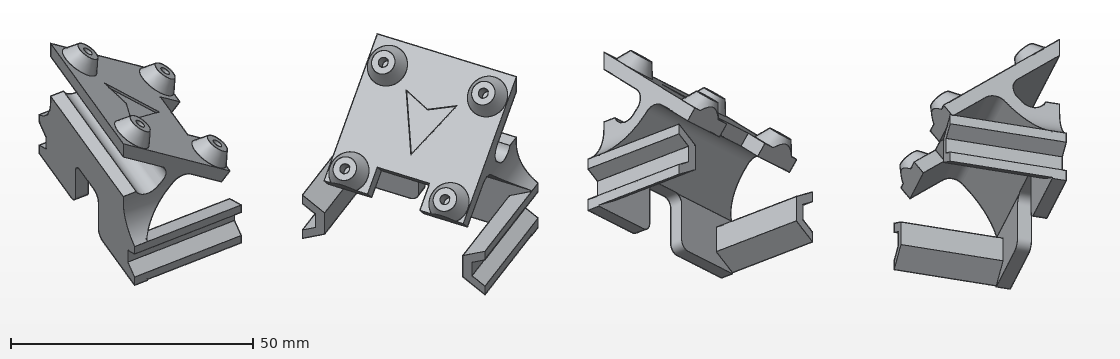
import cadquery as cq
import math

width = 42.0
body_width = 32.0
wall = 3.02
half_width = width / 2
half_body = body_width / 2

tilt = 40.0
plate_top = 38.3
plate_reach = 24.95
plate_thick = 3.05
slope_cos = math.cos(math.radians(tilt))
slope_sin = math.sin(math.radians(tilt))
plate_length = plate_reach / slope_cos
end_notch_width = 12.0
end_notch_depth = 5.95

web_rear_offset = 9.0
web_front_offset = web_rear_offset + wall * math.sqrt(2)
wall_top = 22.2
root_radius = 3.02

flank_radius = 10.0
flank_top = 20.45
arm_top = 11.8

arm_bottom = 0.25
arm_thick = 5.12
groove_depth = 3.0
groove_mouth = 7.0
groove_angle = 30.0
groove_mid = (arm_top + arm_bottom) / 2

slot_width = 10.0
slot_height = 12.1
slot_radius = 2.0

boss_x = 11.5
boss_along = (5.75, 29.3)
boss_base_radius = 4.33
boss_top_radius = 2.5
boss_height = 3.02
boss_hole_radius = 1.05

arrow_half_width = 5.85
arrow_tip = 22.05
arrow_barb = 9.45
arrow_notch = 12.0
arrow_depth = 0.5

plate_plane = cq.Plane(
    origin=(0, 0, plate_top), xDir=(1, 0, 0), normal=(0, slope_sin, slope_cos)
)


def side_profile():
    """Wall, web and plate as one Y-Z outline, extruded across the full width."""
    under_front = plate_top - plate_thick / slope_cos
    slope = slope_sin / slope_cos
    end_y = plate_reach - plate_thick * slope_sin
    end_z = under_front - end_y * slope

    def web_corner(offset):
        y = (under_front - offset) / (1 + slope)
        return y, y + offset

    front_corner = web_corner(web_front_offset)
    rear_corner = web_corner(web_rear_offset)

    diagonal = math.sqrt(0.5)
    shift = wall + web_front_offset + root_radius / diagonal - wall_top
    centre_y = wall + (math.sqrt(2 * root_radius**2 - shift**2) - shift) / 2
    centre_z = centre_y + web_front_offset + root_radius / diagonal
    tangent = (centre_y + root_radius * diagonal, centre_z - root_radius * diagonal)

    outline = (
        cq.Workplane("YZ")
        .moveTo(0, 0)
        .lineTo(wall, 0)
        .lineTo(wall, wall + web_rear_offset)
        .lineTo(*rear_corner)
        .lineTo(end_y, end_z)
        .lineTo(plate_reach, plate_top - plate_reach * slope)
        .lineTo(0, plate_top)
        .lineTo(0, under_front)
        .lineTo(*front_corner)
        .lineTo(*tangent)
        .threePointArc((centre_y, centre_z - root_radius), (wall, wall_top))
        .lineTo(0, wall_top)
        .close()
    )
    solid = outline.extrude(half_width, both=True)
    for y, z in (front_corner, rear_corner):
        near_corner = cq.selectors.BoxSelector(
            (-0.4, y - 0.4, z - 0.4), (0.4, y + 0.4, z + 0.4)
        )
        solid = solid.edges("|X").edges(near_corner).fillet(root_radius)
    return solid


def width_envelope():
    """Narrow body, plus concave flanks to a full-width foot under the web only."""
    flank_reach = flank_top - web_rear_offset
    body = cq.Workplane("XY").box(
        body_width, plate_reach, plate_top, centered=(True, False, False)
    )
    centre_x = half_body + flank_radius
    mid_angle = math.asin((flank_top - arm_top) / flank_radius) / 2
    mid_x = centre_x - flank_radius * math.cos(mid_angle)
    mid_z = flank_top - flank_radius * math.sin(mid_angle)
    foot = (
        cq.Workplane("XZ")
        .moveTo(-half_width, 0)
        .lineTo(half_width, 0)
        .lineTo(half_width, arm_top)
        .threePointArc((mid_x, mid_z), (half_body, flank_top))
        .lineTo(-half_body, flank_top)
        .threePointArc((-mid_x, mid_z), (-half_width, arm_top))
        .close()
        .extrude(-flank_reach)
    )
    return body.union(foot)


def arm(side):
    """Side arm whose top and bottom faces slope parallel to the groove flanks."""
    drop = arm_thick * math.tan(math.radians(groove_angle))
    outer = side * half_width
    inner = side * (half_width - arm_thick)
    points = [
        (outer, arm_bottom),
        (outer, arm_top),
        (inner, arm_top - drop),
        (inner, arm_bottom + drop),
    ]
    return cq.Workplane("XZ").polyline(points).close().extrude(-plate_reach)


def groove(side):
    """V groove with a flat floor, running the whole length of an arm."""
    outer = side * half_width
    floor = side * (half_width - groove_depth)
    half_mouth = groove_mouth / 2
    half_floor = half_mouth - groove_depth * math.tan(math.radians(groove_angle))
    points = [
        (outer, groove_mid - half_mouth),
        (outer, groove_mid + half_mouth),
        (floor, groove_mid + half_floor),
        (floor, groove_mid - half_floor),
    ]
    return cq.Workplane("XZ").polyline(points).close().extrude(-plate_reach)


def wall_slot():
    """Slot with rounded top corners and a mouth flared by convex rounds."""
    half = slot_width / 2
    r = slot_radius
    return (
        cq.Workplane("XZ")
        .moveTo(-half - r, 0)
        .radiusArc((-half, r), -r)
        .lineTo(-half, slot_height - r)
        .radiusArc((-half + r, slot_height), r)
        .lineTo(half - r, slot_height)
        .radiusArc((half, slot_height - r), r)
        .lineTo(half, r)
        .radiusArc((half + r, 0), -r)
        .close()
        .extrude(-2 * wall)
    )


def end_notch():
    return (
        cq.Workplane(plate_plane)
        .center(0, plate_length)
        .rect(end_notch_width, 2 * end_notch_depth)
        .extrude(-plate_thick)
    )


def arrow_recess():
    points = [
        (0, arrow_tip),
        (arrow_half_width, arrow_barb),
        (0, arrow_notch),
        (-arrow_half_width, arrow_barb),
    ]
    return cq.Workplane(plate_plane).polyline(points).close().extrude(-arrow_depth)


def bosses():
    """Four hollow cones, trimmed flush with the lower end of the plate."""
    centres = [(x, along) for x in (-boss_x, boss_x) for along in boss_along]
    taper = math.degrees(math.atan((boss_base_radius - boss_top_radius) / boss_height))
    base = cq.Workplane(plate_plane).pushPoints(centres)
    cones = base.circle(boss_base_radius).extrude(boss_height, taper=taper)
    holes = base.circle(boss_hole_radius).extrude(boss_height)
    trim = (
        cq.Workplane(plate_plane)
        .center(0, plate_length / 2)
        .rect(width, plate_length)
        .extrude(boss_height)
    )
    return cones.cut(holes).intersect(trim)


result = side_profile().intersect(width_envelope())
for side in (-1, 1):
    result = result.union(arm(side)).cut(groove(side))
result = result.cut(wall_slot()).cut(end_notch()).cut(arrow_recess()).union(bosses())